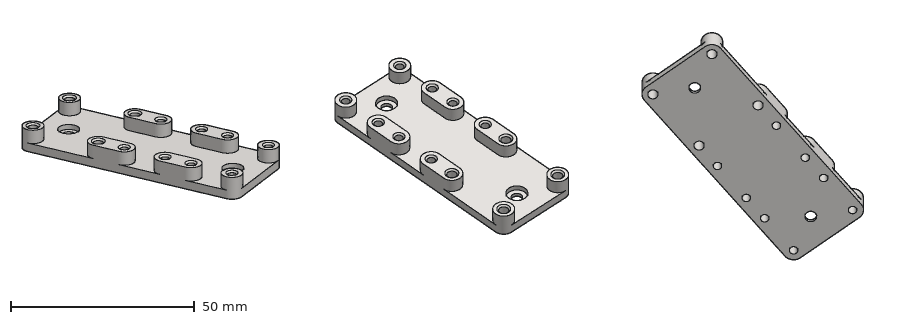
import cadquery as cq

length = 67.9
width = 26.35
plate_thickness = 2.6
total_height = 6.6

boss_diameter = 6.0
boss_radius = boss_diameter / 2
corner_x = length / 2 - boss_radius
row_y = width / 2 - boss_radius

hole_pitch = 8.1
left_pair_x = -6.6
right_pair_x = 14.2

large_hole_diameter = 2.8
small_hole_diameter = 2.3
hole_chamfer = 0.5

mount_x = 25.5
mount_diameter = 3.2
counterbore_diameter = 6.0
counterbore_depth = 1.5


def make_plate():
    """Make a cross of two blocks; the corner bosses fill its notches as rounded corners."""
    plate = cq.Workplane("XY").rect(2 * corner_x, width).extrude(plate_thickness)
    return plate.union(cq.Workplane("XY").rect(length, 2 * row_y).extrude(plate_thickness))


def add_bosses(body, y):
    """Add two round corner bosses and two oblong bosses along one long side."""
    for x in (-corner_x, corner_x):
        body = body.union(cq.Workplane("XY").center(x, y).circle(boss_radius).extrude(total_height))
    for x in (left_pair_x, right_pair_x):
        oblong = cq.Workplane("XY").center(x, y).slot2D(hole_pitch + boss_diameter, boss_diameter)
        body = body.union(oblong.extrude(total_height))
    return body


def cut_screw_holes(body, diameter, points):
    """Cut through holes whose top rims carry a 45 degree chamfer."""
    top = cq.Workplane("XY", origin=(0, 0, total_height)).pushPoints(points)
    rim_diameter = diameter + 2 * hole_chamfer
    body = body.cut(top.circle(diameter / 2).extrude(-total_height))
    for x, y in points:
        rim = cq.Workplane("XY", origin=(x, y, total_height)).circle(rim_diameter / 2)
        cone = rim.workplane(offset=-hole_chamfer).circle(diameter / 2).loft()
        body = body.cut(cone)
    return body


def cut_mounting_holes(body):
    """Cut both counterbored holes from the top face of the plate."""
    top = cq.Workplane("XY", origin=(0, 0, plate_thickness)).pushPoints([(-mount_x, 0), (mount_x, 0)])
    body = body.cut(top.circle(mount_diameter / 2).extrude(-plate_thickness))
    return body.cut(top.circle(counterbore_diameter / 2).extrude(-counterbore_depth))


large_hole_xs = [-corner_x, left_pair_x - hole_pitch / 2]
small_hole_xs = [
    left_pair_x + hole_pitch / 2,
    right_pair_x - hole_pitch / 2,
    right_pair_x + hole_pitch / 2,
    corner_x,
]

result = make_plate()
for side_y in (-row_y, row_y):
    result = add_bosses(result, side_y)
for side_y in (-row_y, row_y):
    result = cut_screw_holes(result, large_hole_diameter, [(x, side_y) for x in large_hole_xs])
    result = cut_screw_holes(result, small_hole_diameter, [(x, side_y) for x in small_hole_xs])
result = cut_mounting_holes(result).solids()